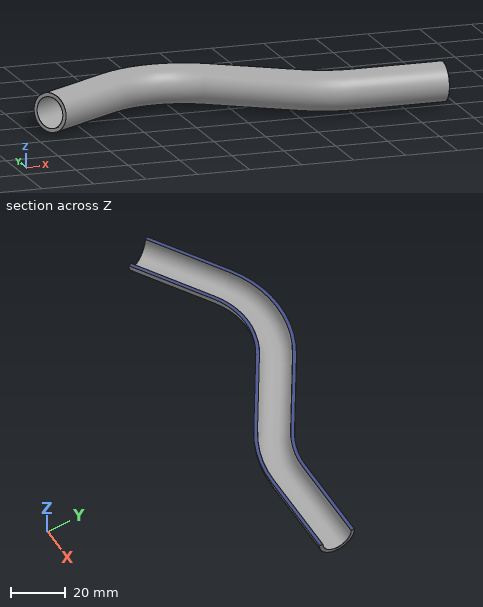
import cadquery as cq
import math

outer_diameter = 15.0
bore_diameter = 12.0

bend_radius = 35.0
end_run = 34.3
middle_run = 35.1
start_run = 34.3
end_bend_angle = 32.5
start_bend_angle = 65

length_x = 153.3
width_y = 44.9


def advance(point, heading, distance):
    """Point reached by moving a distance along a heading in degrees."""
    angle = math.radians(heading)
    return (point[0] + distance * math.cos(angle), point[1] + distance * math.sin(angle))


def bend(path, start, heading, turn):
    """Add a tangent arc turning left for a positive angle; return the path, its end and heading."""
    side = math.copysign(90, turn)
    centre = advance(start, heading + side, bend_radius)
    middle = advance(centre, heading - side + turn / 2, bend_radius)
    end = advance(centre, heading - side + turn, bend_radius)
    return path.threePointArc(middle, end), end, heading + turn


def run(path, start, heading, distance):
    """Add a straight run; return the path and its end."""
    end = advance(start, heading, distance)
    return path.lineTo(*end), end


heading = 180
start_point = (length_x / 2, (outer_diameter - width_y) / 2)
point = start_point
path = cq.Workplane("XY").moveTo(*point)
path, point = run(path, point, heading, end_run)
path, point, heading = bend(path, point, heading, -end_bend_angle)
path, point = run(path, point, heading, middle_run)
path, point, heading = bend(path, point, heading, start_bend_angle)
path, point = run(path, point, heading, start_run)

section = (
    cq.Workplane("YZ", origin=(*start_point, 0))
    .circle(outer_diameter / 2)
    .circle(bore_diameter / 2)
)
result = section.sweep(path)